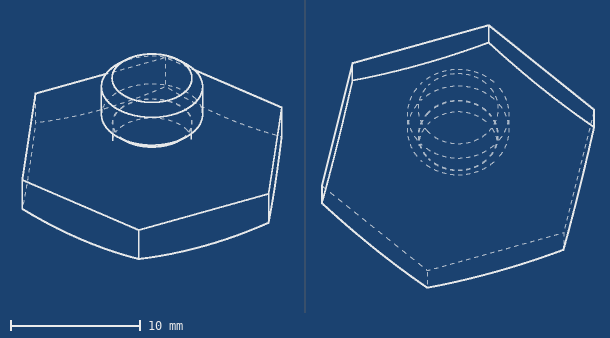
import cadquery as cq
import math

across_flats = 19.05
across_corners = across_flats / math.cos(math.radians(30))
head_height = 4.78
dome_radius = 31.75

stud_height = 6.35
neck_radius = 3.03
collar_radius = 3.9
collar_chamfer = 0.82
collar_end_radius = collar_radius - collar_chamfer
collar_height = 4.33
neck_fillet = 0.38


def make_head():
    """Hexagonal prism below Z = 0, corners on the Y axis, trimmed by the dome sphere."""
    prism = (
        cq.Workplane("XY")
        .polygon(6, across_corners)
        .extrude(-head_height)
        .rotate((0, 0, 0), (0, 0, 1), 90)
    )
    dome_center_z = dome_radius - head_height
    dome = cq.Workplane("XY").sphere(dome_radius).translate((0, 0, dome_center_z))
    return prism.intersect(dome)


def make_stud():
    """Neck with a rounded root on the head face and a chamfered collar, turned about Z."""
    collar_bottom_z = stud_height - collar_height
    fillet_center_r = neck_radius + neck_fillet
    fillet_mid_offset = neck_fillet * math.sqrt(0.5)
    fillet_midpoint = (fillet_center_r - fillet_mid_offset, neck_fillet - fillet_mid_offset)
    profile = (
        cq.Workplane("YZ")
        .lineTo(fillet_center_r, 0)
        .threePointArc(fillet_midpoint, (neck_radius, neck_fillet))
        .lineTo(neck_radius, collar_bottom_z)
        .lineTo(collar_end_radius, collar_bottom_z)
        .lineTo(collar_radius, collar_bottom_z + collar_chamfer)
        .lineTo(collar_radius, stud_height - collar_chamfer)
        .lineTo(collar_end_radius, stud_height)
        .lineTo(0, stud_height)
        .close()
    )
    return profile.revolve(360, (0, 0, 0), (0, 1, 0))


result = make_head().union(make_stud())